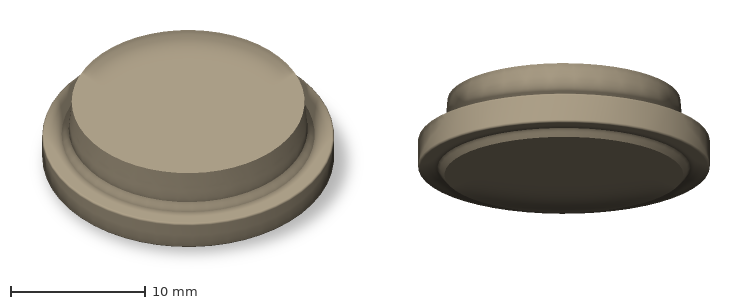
import cadquery as cq
import math

flange_radius = 21.7 / 2
flange_height = 2.25
flange_edge_fillet = 0.15

shoulder_height = 0.525
shoulder_tip_radius = 8.88
shoulder_foot_radius = shoulder_tip_radius + shoulder_height

joint_radius = 17.96 / 2
plug_rim_height = joint_radius - shoulder_tip_radius

total_height = 5.85
plug_taper_angle = 5

flange_bottom = shoulder_height
flange_top = flange_bottom + flange_height
shoulder_top = flange_top + shoulder_height
joint_bottom = plug_rim_height
joint_top = shoulder_top - plug_rim_height
plug_taper_height = total_height - shoulder_top
plug_top_radius = shoulder_tip_radius - plug_taper_height * math.tan(math.radians(plug_taper_angle))


def revolve_profile(points):
    """Revolve a closed (radius, height) outline a full turn about the Z axis."""
    return cq.Workplane("XZ").polyline(points).close().revolve(360, (0, 0, 0), (0, 1, 0))


def make_ring():
    """Flanged ring with a straight bore and a sloped shoulder on each side."""
    ring = revolve_profile([
        (joint_radius, joint_bottom),
        (shoulder_foot_radius, flange_bottom),
        (flange_radius, flange_bottom),
        (flange_radius, flange_top),
        (shoulder_foot_radius, flange_top),
        (joint_radius, joint_top),
    ])
    flange_rims = cq.selectors.RadiusNthSelector(-1)
    return ring.edges("%CIRCLE").edges(flange_rims).fillet(flange_edge_fillet)


def make_plug():
    """Solid plug filling the ring bore, with sloped rims and a tapered top."""
    return revolve_profile([
        (0, 0),
        (shoulder_tip_radius, 0),
        (joint_radius, joint_bottom),
        (joint_radius, joint_top),
        (shoulder_tip_radius, shoulder_top),
        (plug_top_radius, total_height),
        (0, total_height),
    ])


ring = make_ring()
plug = make_plug()

result = cq.Compound.makeCompound([ring.val(), plug.val()])